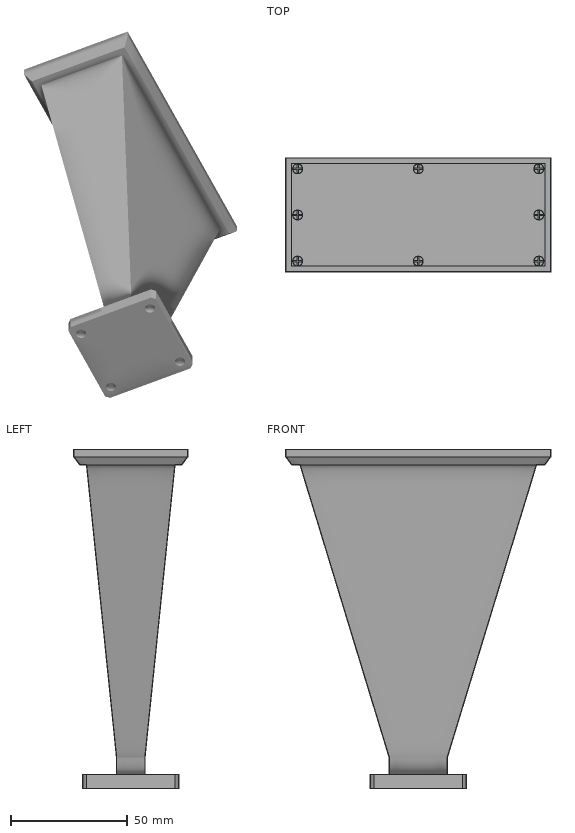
import cadquery as cq

FLANGE_SIDE = 41.2
FLANGE_THICKNESS = 6.1
FLANGE_CORNER_CHAMFER = 1.6
FLANGE_EDGE_CHAMFER = 0.1
FLANGE_HOLE_DIAMETER = 4.4
FLANGE_HOLE_SPACING_X = 31.0
FLANGE_HOLE_SPACING_Y = 32.5

NECK_LENGTH = 24.9
NECK_WIDTH = 12.2
NECK_HEIGHT = 7.1

TOTAL_HEIGHT = 145.7
RIM_LENGTH = 113.8
RIM_WIDTH = 49.0
RIM_EDGE_HEIGHT = 3.2
RIM_BEVEL_HEIGHT = 3.5
RIM_BEVEL_INSET = 2.6

HORN_MOUTH_LENGTH = 101.6
HORN_MOUTH_WIDTH = 38.0

RECESS_MARGIN = 2.5
RECESS_DEPTH = 0.07

SCREW_HEAD_DIAMETER = 4.2
SCREW_HEAD_HEIGHT = 1.5
SCREW_END_DISTANCE = 5.1
SCREW_SIDE_DISTANCE = 4.7
CROSS_SPAN = 3.8
CROSS_SLOT_WIDTH = 0.6
CROSS_DEPTH = 0.5

neck_top = FLANGE_THICKNESS + NECK_HEIGHT
bevel_top = TOTAL_HEIGHT - RIM_EDGE_HEIGHT
rim_bottom = bevel_top - RIM_BEVEL_HEIGHT
recess_floor = TOTAL_HEIGHT - RECESS_DEPTH

screw_x = RIM_LENGTH / 2 - SCREW_END_DISTANCE
screw_y = RIM_WIDTH / 2 - SCREW_SIDE_DISTANCE
screw_places = [(x, y) for x in (-screw_x, screw_x) for y in (-screw_y, 0, screw_y)]
screw_places += [(0, -screw_y), (0, screw_y)]


def straight_block(bottom_z, length, width, height):
    """Upright block centred on the Z axis."""
    return cq.Workplane("XY", origin=(0, 0, bottom_z)).rect(length, width).extrude(height)


def tapered_block(bottom_z, bottom_size, top_z, top_size):
    """Block with flat sides between a lower and an upper rectangle."""
    return (
        cq.Workplane("XY", origin=(0, 0, bottom_z))
        .rect(*bottom_size)
        .workplane(offset=top_z - bottom_z)
        .rect(*top_size)
        .loft(ruled=True)
    )


def make_flange():
    """Square plate with cut corners, a broken top edge and four through holes."""
    return (
        straight_block(0, FLANGE_SIDE, FLANGE_SIDE, FLANGE_THICKNESS)
        .edges("|Z")
        .chamfer(FLANGE_CORNER_CHAMFER)
        .faces(">Z")
        .edges()
        .chamfer(FLANGE_EDGE_CHAMFER)
        .faces(">Z")
        .workplane()
        .rect(FLANGE_HOLE_SPACING_X, FLANGE_HOLE_SPACING_Y, forConstruction=True)
        .vertices()
        .hole(FLANGE_HOLE_DIAMETER)
    )


def make_neck():
    return straight_block(FLANGE_THICKNESS, NECK_LENGTH, NECK_WIDTH, NECK_HEIGHT)


def make_horn():
    neck_size = (NECK_LENGTH, NECK_WIDTH)
    mouth_size = (HORN_MOUTH_LENGTH, HORN_MOUTH_WIDTH)
    return tapered_block(neck_top, neck_size, rim_bottom, mouth_size)


def make_rim():
    """Rectangular rim, bevelled underneath and slightly recessed on top."""
    bottom_size = (RIM_LENGTH - 2 * RIM_BEVEL_INSET, RIM_WIDTH - 2 * RIM_BEVEL_INSET)
    bevel = tapered_block(rim_bottom, bottom_size, bevel_top, (RIM_LENGTH, RIM_WIDTH))
    edge = straight_block(bevel_top, RIM_LENGTH, RIM_WIDTH, RIM_EDGE_HEIGHT)
    recess_length = RIM_LENGTH - 2 * RECESS_MARGIN
    recess_width = RIM_WIDTH - 2 * RECESS_MARGIN
    recess = straight_block(recess_floor, recess_length, recess_width, RECESS_DEPTH)
    return bevel.union(edge).cut(recess)


def make_screw_blank(x, y):
    """Screw head without its cross, which is also the shape of its pocket."""
    return (
        cq.Workplane("XY", origin=(x, y, recess_floor))
        .circle(SCREW_HEAD_DIAMETER / 2)
        .extrude(-SCREW_HEAD_HEIGHT)
    )


def make_screw(x, y):
    """Screw head with a cross-shaped drive slot in its top."""
    head_top = cq.Workplane("XY", origin=(x, y, recess_floor))
    slot_along_x = head_top.rect(CROSS_SPAN, CROSS_SLOT_WIDTH).extrude(-CROSS_DEPTH)
    slot_along_y = head_top.rect(CROSS_SLOT_WIDTH, CROSS_SPAN).extrude(-CROSS_DEPTH)
    return make_screw_blank(x, y).cut(slot_along_x).cut(slot_along_y)


def make_housing():
    """Flange, neck, horn and rim as one solid, with a pocket for every screw."""
    body = make_flange().union(make_neck()).union(make_horn()).union(make_rim())
    for x, y in screw_places:
        body = body.cut(make_screw_blank(x, y))
    return body


housing = make_housing()
screws = [make_screw(x, y) for x, y in screw_places]

result = cq.Compound.makeCompound([housing.val(), *[screw.val() for screw in screws]])